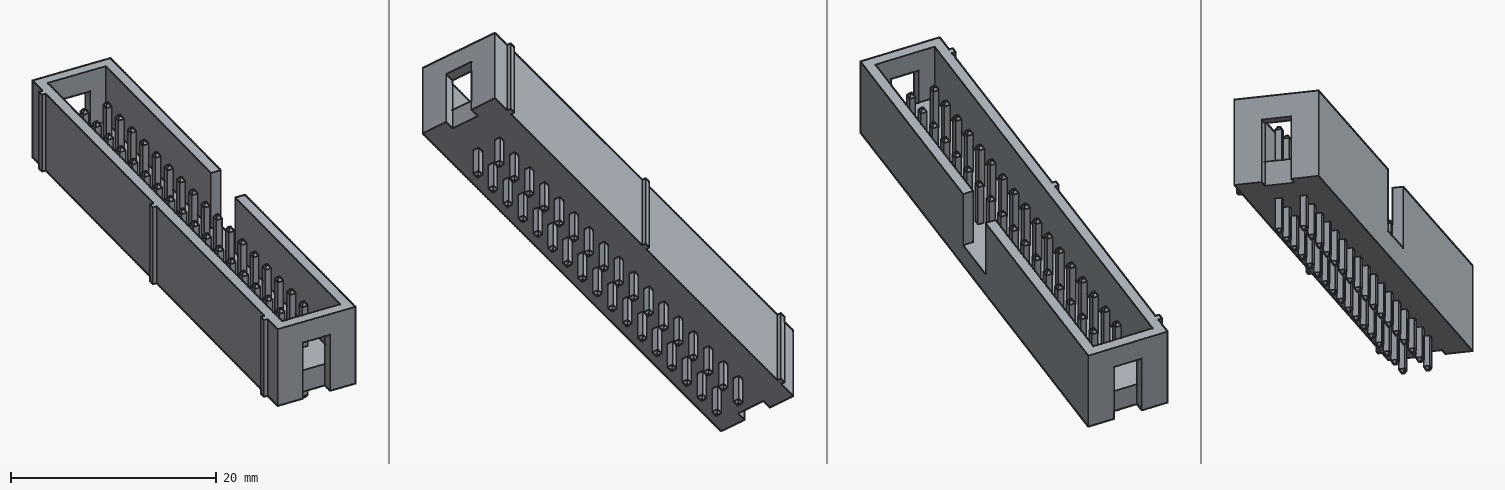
import cadquery as cq

HOUSING_LENGTH = 50.8
HOUSING_WIDTH = 8.6
HOUSING_HEIGHT = 8.9
WALL = 1.1
FLOOR = 2.5

NOTCH_WIDTH = 5.0

END_SLOT_WIDTH = 3.0
END_SLOT_HEIGHT = 6.5

RIB_DEPTH = 0.4
RIB_WIDTH = 0.65
END_RIB_OFFSET = 23.0

COLUMNS = 17
ROWS = 2
PITCH = 2.54
PIN_SIZE = 0.64
PIN_TAIL = 3.5
PIN_TOP = 7.5
PIN_TAPER_LENGTH = 0.35
PIN_TAPER_INSET = 0.2

OVERCUT = 1.0


def upright_box(length, width, bottom, top):
    """Box centred in X and Y between two heights."""
    box = cq.Workplane("XY").box(length, width, top - bottom, centered=(True, True, False))
    return box.translate((0, 0, bottom))


def make_shell():
    """Housing box hollowed from above, leaving the walls and the floor."""
    block = upright_box(HOUSING_LENGTH, HOUSING_WIDTH, 0, HOUSING_HEIGHT)
    cavity = upright_box(
        HOUSING_LENGTH - 2 * WALL,
        HOUSING_WIDTH - 2 * WALL,
        FLOOR,
        HOUSING_HEIGHT + OVERCUT,
    )
    return block.cut(cavity)


def cut_keying_notch(body):
    """Open the middle of the rear wall from the floor up."""
    wall_centre = (HOUSING_WIDTH - WALL) / 2
    notch = upright_box(NOTCH_WIDTH, WALL, FLOOR, HOUSING_HEIGHT + OVERCUT)
    return body.cut(notch.translate((0, wall_centre, 0)))


def cut_end_slots(body):
    """Cut a slot through each end wall, leaving the cavity floor whole."""
    wall_centre = (HOUSING_LENGTH - WALL) / 2
    slot = upright_box(WALL, END_SLOT_WIDTH, -OVERCUT, END_SLOT_HEIGHT)
    for side in (-1, 1):
        body = body.cut(slot.translate((side * wall_centre, 0, 0)))
    return body


def add_ribs(body):
    """Add three ribs of equal size to the front wall."""
    rib_centre = -(HOUSING_WIDTH + RIB_DEPTH) / 2
    rib = upright_box(RIB_WIDTH, RIB_DEPTH, 0, HOUSING_HEIGHT)
    for x in (-END_RIB_OFFSET, 0, END_RIB_OFFSET):
        body = body.union(rib.translate((x, rib_centre, 0)))
    return body


def make_pin():
    """Square pin whose two ends taper to smaller squares."""
    tip_size = PIN_SIZE - 2 * PIN_TAPER_INSET
    shank_bottom = -PIN_TAIL + PIN_TAPER_LENGTH
    shank_top = PIN_TOP - PIN_TAPER_LENGTH
    pin = upright_box(PIN_SIZE, PIN_SIZE, shank_bottom, shank_top)
    for shank_end, direction in ((shank_bottom, -1), (shank_top, 1)):
        taper = (
            cq.Workplane("XY", origin=(0, 0, shank_end))
            .rect(PIN_SIZE, PIN_SIZE)
            .workplane(offset=direction * PIN_TAPER_LENGTH)
            .rect(tip_size, tip_size)
            .loft()
        )
        pin = pin.union(taper)
    return pin


def add_pins(body):
    """Add the grid of pins, each passing down through the floor."""
    pin = make_pin()
    for row in range(ROWS):
        y = (row - (ROWS - 1) / 2) * PITCH
        for column in range(COLUMNS):
            x = (column - (COLUMNS - 1) / 2) * PITCH
            body = body.union(pin.translate((x, y, 0)))
    return body


housing = make_shell()
housing = cut_keying_notch(housing)
housing = cut_end_slots(housing)
housing = add_ribs(housing)
result = add_pins(housing)